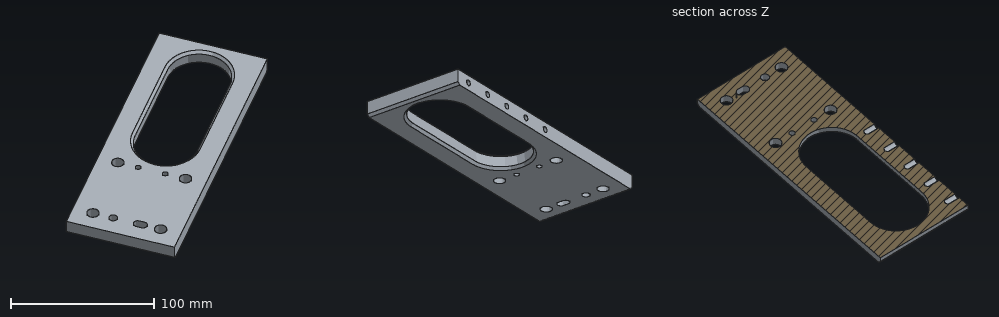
import cadquery as cq

length = 200.0
width = 80.0
thickness = 12.0
end_chamfer = 2.0

opening_length = 120.0
opening_width = 50.0
opening_margin = 6.0
rim_chamfer = 2.0

lower_row_y = -length / 2 + 14.0
upper_row_y = lower_row_y + 53.5
outer_hole_x = 25.0
inner_hole_x = 10.0
mounting_diameter = 8.5
small_diameter = 4.0
locating_diameter = 6.0
locating_slot_length = 10.0

side_hole_count = 5
side_hole_pitch = 22.0
side_hole_margin = 12.0
side_hole_diameter = 4.2
side_hole_depth = 10.0
drill_tip_height = 1.2


def make_plate():
    """Plate with both ends of its underside chamfered."""
    plate = cq.Workplane("XY").box(width, length, thickness, centered=(True, True, False))
    return plate.faces("<Z").edges("|X").chamfer(end_chamfer)


def make_opening():
    """Cutter for the handle opening, widening at both faces of the plate."""
    center_y = length / 2 - opening_margin - opening_length / 2
    inner_length = opening_length - 2 * rim_chamfer
    inner_width = opening_width - 2 * rim_chamfer
    cutter = (
        cq.Workplane("XY")
        .center(0, center_y)
        .slot2D(inner_length, inner_width, 90)
        .extrude(thickness)
    )
    top_flare = (
        cq.Workplane("XY", origin=(0, center_y, thickness))
        .slot2D(opening_length, opening_width, 90)
        .extrude(-rim_chamfer, taper=45)
    )
    bottom_flare = top_flare.mirror("XY", (0, 0, thickness / 2))
    return cutter.union(top_flare).union(bottom_flare)


def make_through_holes(points, diameter):
    """Cutters for round holes through the plate thickness."""
    return cq.Workplane("XY").pushPoints(points).circle(diameter / 2).extrude(thickness)


def make_side_hole(y):
    """Cutter for a drilled hole entering the -X side, with a conical tip."""
    start_x = -width / 2
    end_x = start_x + side_hole_depth
    radius = side_hole_diameter / 2
    axis_z = thickness / 2
    return (
        cq.Workplane("XY", origin=(0, y, axis_z))
        .moveTo(start_x, 0)
        .lineTo(start_x, radius)
        .lineTo(end_x, radius)
        .lineTo(end_x + drill_tip_height, 0)
        .close()
        .revolve(360, (start_x, 0), (end_x, 0))
    )


mounting_points = [(x, y) for x in (-outer_hole_x, outer_hole_x) for y in (lower_row_y, upper_row_y)]
small_points = [(x, upper_row_y) for x in (-inner_hole_x, inner_hole_x)]
locating_slot = (
    cq.Workplane("XY")
    .center(inner_hole_x, lower_row_y)
    .slot2D(locating_slot_length, locating_diameter)
    .extrude(thickness)
)

result = make_plate().cut(make_opening())
result = result.cut(make_through_holes(mounting_points, mounting_diameter))
result = result.cut(make_through_holes(small_points, small_diameter))
result = result.cut(make_through_holes([(-inner_hole_x, lower_row_y)], locating_diameter))
result = result.cut(locating_slot)
for index in range(side_hole_count):
    hole_y = length / 2 - side_hole_margin - index * side_hole_pitch
    result = result.cut(make_side_hole(hole_y))